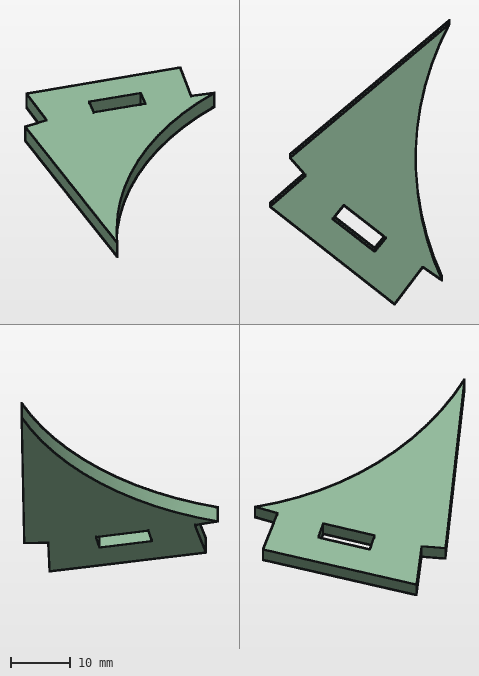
import cadquery as cq

length = 43.3
width = 33.0
thickness = 3.0

tab_lower_left = (0.15, 2.55)
tab_upper_left = (0.0, 29.3)
tab_upper_root = (7.93, 29.02)
tab_lower_root = (8.0, 3.95)

upper_point = (8.15, width)
lower_point = (8.75, 0.0)
tip = (length, 6.65)

arc_middle = (20.05, 17.95)

slot_length = 8.95
slot_width = 3.0
slot_center = (6.5, 16.6)


def make_plate():
    """Flat wing: stepped tab, straight lower edge and concave upper edge."""
    return (
        cq.Workplane("XY")
        .moveTo(*tab_lower_left)
        .lineTo(*tab_lower_root)
        .lineTo(*lower_point)
        .lineTo(*tip)
        .threePointArc(arc_middle, upper_point)
        .lineTo(*tab_upper_root)
        .lineTo(*tab_upper_left)
        .close()
        .extrude(thickness)
    )


def make_slot():
    """Cutter for the slot, running the full thickness of the plate."""
    return (
        cq.Workplane("XY")
        .center(*slot_center)
        .rect(slot_width, slot_length)
        .extrude(thickness)
    )


result = make_plate().cut(make_slot())